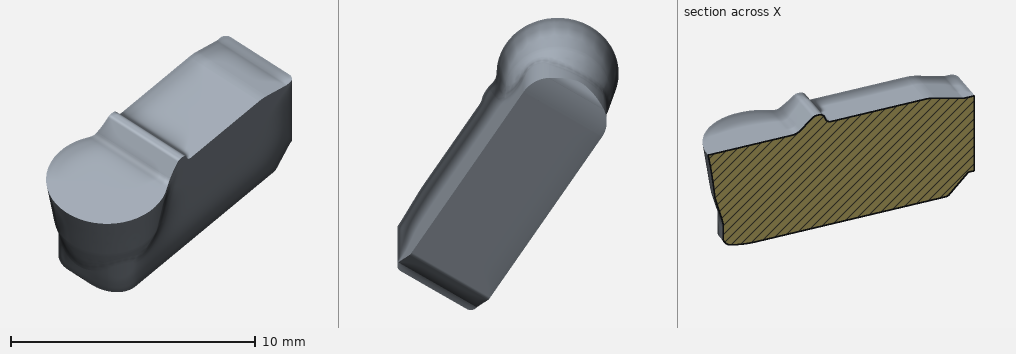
import cadquery as cq
import math

length = 12.0
body_width = 3.8
body_top = 4.95
crest_top = 5.4
head_top = 4.73
head_diameter = 5.0
margin = 0.24

head_radius = head_diameter / 2
head_taper = 8.3
lower_taper = 16.0
taper_change_z = 2.51
head_foot_z = 0.24
taper_blend_radius = 1.5
neck_blend_radius = 1.5

nose_tip_y = 0.68
nose_front_radius = 2.52
nose_corner_radius = 1.22
nose_tip_z = 0.48
nose_tip_arc_mid = (0.82, 0.25)
nose_arc_join = (1.08, 0.13)
nose_underside_mid = (1.58, 0.04)
nose_underside_end = (2.1, 0)

tail_corner_radius = 0.3
tail_bottom_z = 0.92
tail_chamfer_y = 11.71
tail_top_z = 4.55
tail_land_y = 11.48
tail_slope = 15.0
tail_slope_radius = 1.8
tail_foot_radius = 0.24

crest_back_y = 5.2
crest_back_slope = 70.0
crest_front_y = 4.8
crest_front_slope = 40.0
crest_back_radius = 0.3
crest_foot_radius = 0.25
crest_front_radius = 0.26
head_foot_radius = 0.5


def tan_deg(angle):
    return math.tan(math.radians(angle))


def make_body_stock():
    """Constant plan outline with a three-arc nose and rounded tail corners."""
    half = body_width / 2
    corner_x = half - nose_corner_radius
    sine = corner_x / (nose_front_radius - nose_corner_radius)
    cosine = math.sqrt(1 - sine**2)
    front_center_y = nose_tip_y + nose_front_radius
    corner_y = front_center_y - (nose_front_radius - nose_corner_radius) * cosine
    join_x = nose_front_radius * sine
    join_y = front_center_y - nose_front_radius * cosine
    outline = (
        cq.Workplane("XY")
        .moveTo(half, length)
        .lineTo(half, corner_y)
        .tangentArcPoint((join_x, join_y), relative=False)
        .threePointArc((0, nose_tip_y), (-join_x, join_y))
        .tangentArcPoint((-half, corner_y), relative=False)
        .lineTo(-half, length)
        .close()
    )
    stock = outline.extrude(crest_top + margin)
    return stock.edges("|Z and >Y").fillet(tail_corner_radius)


def make_head_stock():
    """Double cone about a vertical axis, rounded where the taper changes."""
    top_z = crest_top + margin
    top_radius = head_radius + (top_z - head_top) * tan_deg(head_taper)
    mid_radius = head_radius - (head_top - taper_change_z) * tan_deg(head_taper)
    foot_radius = mid_radius - (taper_change_z - head_foot_z) * tan_deg(lower_taper)
    turn = math.radians(lower_taper - head_taper)
    tangent = taper_blend_radius * math.tan(turn / 2)
    lower = math.radians(lower_taper)
    upper = math.radians(head_taper)
    arc_start = (mid_radius - tangent * math.sin(lower), taper_change_z - tangent * math.cos(lower))
    arc_end = (mid_radius + tangent * math.sin(upper), taper_change_z + tangent * math.cos(upper))
    section = (
        cq.Workplane("XZ")
        .moveTo(0, head_foot_z)
        .lineTo(foot_radius, head_foot_z)
        .lineTo(*arc_start)
        .tangentArcPoint(arc_end, relative=False)
        .lineTo(top_radius, top_z)
        .lineTo(0, top_z)
        .close()
    )
    return section.revolve(360, (0, 0), (0, 1)).translate((0, head_radius, 0))


def make_side_envelope():
    """Side outline of the finished part, extruded wider than the part."""
    slope_top = (tail_land_y - (body_top - tail_top_z) / tan_deg(tail_slope), body_top)
    crest_foot = (crest_back_y + (crest_top - body_top) / tan_deg(crest_back_slope), body_top)
    crest_back = (crest_back_y, crest_top)
    crest_front = (crest_front_y, crest_top)
    head_foot = (crest_front_y - (crest_top - head_top) / tan_deg(crest_front_slope), head_top)
    half = head_radius + margin
    envelope = (
        cq.Workplane("YZ", origin=(-half, 0, 0))
        .moveTo(tail_chamfer_y - tail_bottom_z, 0)
        .lineTo(tail_chamfer_y, tail_bottom_z)
        .lineTo(length, tail_bottom_z)
        .lineTo(length, tail_top_z)
        .lineTo(tail_land_y, tail_top_z)
        .lineTo(*slope_top)
        .lineTo(*crest_foot)
        .lineTo(*crest_back)
        .lineTo(*crest_front)
        .lineTo(*head_foot)
        .lineTo(-margin, head_top)
        .lineTo(-margin, nose_tip_z)
        .lineTo(nose_tip_y, nose_tip_z)
        .threePointArc(nose_tip_arc_mid, nose_arc_join)
        .threePointArc(nose_underside_mid, nose_underside_end)
        .close()
        .extrude(2 * half)
    )
    rounded_corners = [
        ((tail_land_y, tail_top_z), tail_foot_radius),
        (slope_top, tail_slope_radius),
        (crest_foot, crest_foot_radius),
        (crest_back, crest_back_radius),
        (crest_front, crest_front_radius),
        (head_foot, head_foot_radius),
        ((tail_chamfer_y - tail_bottom_z, 0), tail_foot_radius),
    ]
    for (y, z), radius in rounded_corners:
        corner = cq.NearestToPointSelector((0, y, z))
        envelope = envelope.edges("|X").edges(corner).fillet(radius)
    return envelope


def blend_neck(stock):
    """Fillet the whole seam where the head meets the body."""
    seam_tip_radius = head_radius - nose_tip_y
    mid_radius = head_radius - (head_top - taper_change_z) * tan_deg(head_taper)
    seam_tip_z = taper_change_z - (mid_radius - seam_tip_radius) / tan_deg(lower_taper)
    tip_seam = cq.NearestToPointSelector((0, nose_tip_y, seam_tip_z))
    return stock.edges(tip_seam).fillet(neck_blend_radius)


stock = make_body_stock().union(make_head_stock())
result = blend_neck(stock).intersect(make_side_envelope())